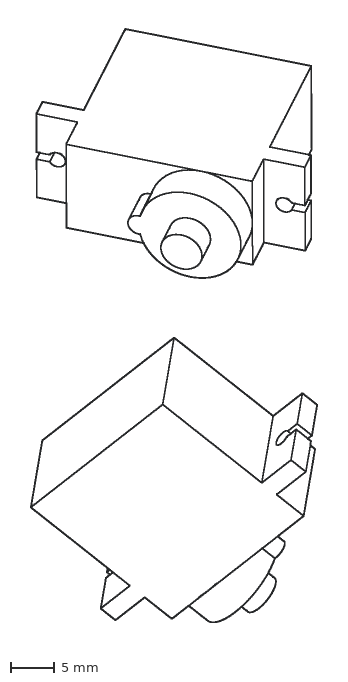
import cadquery as cq

body_length = 22.6
body_depth = 22.35
body_height = 12.4

ear_length = 5.0
ear_thickness = 2.35
ear_setback = 4.3
ear_hole_diameter = 2.05
ear_slot_width = 1.05

housing_diameter = body_height
housing_height = 4.3
lobe_diameter = 2.7
shaft_diameter = 5.0
shaft_height = 3.23

roll = 11.45
pitch = 3.44
yaw = 9.7

housing_x = body_length / 2 - housing_diameter / 2
lobe_x = housing_x - housing_diameter / 2


def box_at(length, depth, height, x, front_y):
    """Box centred on x and Z = 0 that extends back from front_y."""
    return cq.Workplane("XY").box(length, depth, height).translate((x, front_y + depth / 2, 0))


def cylinder_at(diameter, x, start_y, end_y):
    """Cylinder along Y, centred on x and Z = 0."""
    circle = cq.Workplane("XZ", origin=(x, start_y, 0)).circle(diameter / 2)
    return circle.extrude(start_y - end_y)


def ear(side):
    """Mounting ear with a screw hole open to the ear's end; side is -1 or 1."""
    ear_x = side * (body_length + ear_length) / 2
    slot_x = ear_x + side * ear_length / 4
    plate = box_at(ear_length, ear_thickness, body_height, ear_x, ear_setback)
    slot = box_at(ear_length / 2, ear_thickness, ear_slot_width, slot_x, ear_setback)
    hole = cylinder_at(ear_hole_diameter, ear_x, ear_setback + ear_thickness, ear_setback)
    return plate.cut(slot).cut(hole)


servo = box_at(body_length, body_depth, body_height, 0, 0)
for side in (-1, 1):
    servo = servo.union(ear(side))

servo = servo.union(cylinder_at(housing_diameter, housing_x, 0, -housing_height))
servo = servo.union(cylinder_at(lobe_diameter, lobe_x, 0, -housing_height))
servo = servo.union(cylinder_at(shaft_diameter, housing_x, 0, -housing_height - shaft_height))

origin = (0, 0, 0)
servo = servo.rotate(origin, (1, 0, 0), roll)
servo = servo.rotate(origin, (0, 1, 0), pitch)
result = servo.rotate(origin, (0, 0, 1), yaw)